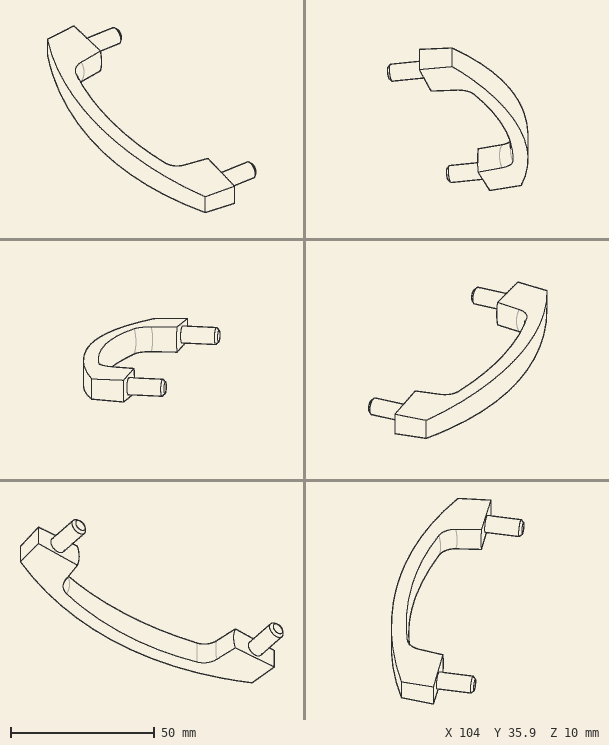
import cadquery as cq

LENGTH = 104.0
DEPTH = 22.9
THICKNESS = 10.0
BACK_END_THICKNESS = 7.8
FRONT_END_THICKNESS = 6.5
END_TAPER = 0.9
END_DEPTH = 11.5
OPENING_HALF_WIDTH = 34.0
OPENING_CORNER_X = 31.9
OPENING_CORNER_Y = -12.1
OPENING_DEPTH = 16.8
OPENING_RADIUS = 6.2
INNER_BULGE = 0.9

PIN_SPACING = 87.0
PIN_DIAMETER = 6.0
PIN_LENGTH = 13.0
PIN_CHAMFER = 0.9

HALF_LENGTH = LENGTH / 2


def lens_section(workplane, end_thickness):
    """Outline across Y with crowned upper and lower edges."""
    half_end = end_thickness / 2
    return (
        workplane.moveTo(-HALF_LENGTH, -half_end)
        .lineTo(-HALF_LENGTH, half_end)
        .threePointArc((0, THICKNESS / 2), (HALF_LENGTH, half_end))
        .lineTo(HALF_LENGTH, -half_end)
        .threePointArc((0, -THICKNESS / 2), (-HALF_LENGTH, -half_end))
        .close()
    )


def make_crowned_blank():
    """Ruled block that thins towards its ends, more so at the front."""
    back = lens_section(cq.Workplane("XZ"), BACK_END_THICKNESS)
    return lens_section(back.workplane(offset=DEPTH), FRONT_END_THICKNESS).loft(ruled=True)


def make_outer_outline():
    """Bow-shaped outer outline, without the hand opening."""
    front_half = HALF_LENGTH - END_TAPER
    return (
        cq.Workplane("XY")
        .moveTo(-HALF_LENGTH, 0)
        .lineTo(-front_half, -END_DEPTH)
        .threePointArc((0, -DEPTH), (front_half, -END_DEPTH))
        .lineTo(HALF_LENGTH, 0)
        .close()
        .extrude(THICKNESS / 2, both=True)
    )


def opening_wire(growth, height):
    """Hand opening at one height, grown outwards from its mid-height size."""
    half_width = OPENING_HALF_WIDTH + growth
    corner_x = OPENING_CORNER_X + growth
    corner_y = OPENING_CORNER_Y - growth
    prism = (
        cq.Workplane("XY", origin=(0, 0, height))
        .moveTo(-half_width, 0)
        .lineTo(-corner_x, corner_y)
        .threePointArc((0, -OPENING_DEPTH - growth), (corner_x, corner_y))
        .lineTo(half_width, 0)
        .close()
        .extrude(THICKNESS)
        .edges("|Z and (not >Y)")
        .fillet(OPENING_RADIUS)
    )
    return prism.faces("<Z").wires().val()


def make_opening():
    """Hand opening, smoothly curved, narrowest at mid height and widening up and down."""
    half_height = THICKNESS / 2
    wires = [
        opening_wire(INNER_BULGE, -half_height),
        opening_wire(0, 0),
        opening_wire(INNER_BULGE, half_height),
    ]
    return cq.Workplane(cq.Solid.makeLoft(wires))


def make_handle():
    return make_crowned_blank().intersect(make_outer_outline()).cut(make_opening())


def make_pin(x):
    """Chamfered pin standing on the mounting face."""
    return (
        cq.Workplane("XZ", origin=(x, 0, 0))
        .circle(PIN_DIAMETER / 2)
        .extrude(-PIN_LENGTH)
        .faces(">Y")
        .chamfer(PIN_CHAMFER)
    )


handle = make_handle()
pins = [make_pin(side * PIN_SPACING / 2) for side in (-1, 1)]

result = cq.Compound.makeCompound([handle.val(), *[pin.val() for pin in pins]])